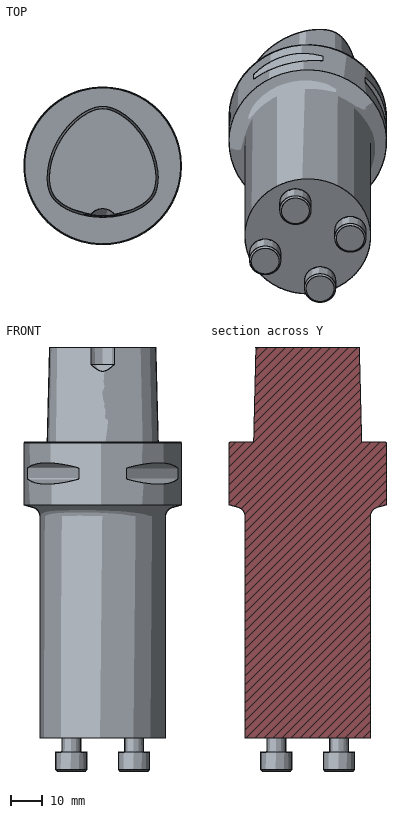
import cadquery as cq
import math

TOTAL_HEIGHT = 134.5
SHANK_HEIGHT = 30.0
FLANGE_HEIGHT = 20.0
FLANGE_RADIUS = 50.0 / 2
FLANGE_RIM_CHAMFER = 0.3
BODY_RADIUS = 40.0 / 2
BODY_BOTTOM = 10.5
FLANGE_TOP = TOTAL_HEIGHT - SHANK_HEIGHT
FLANGE_BOTTOM = FLANGE_TOP - FLANGE_HEIGHT

NECK_CONE_ANGLE = math.radians(15)
NECK_FILLET = 3.0

SHANK_MEAN_RADIUS = 17.6
LOBE_HEIGHT = 1.25
TAPER_PER_SIDE = 1 / 40
LOBE_COUNT = 3
LOBE_DIRECTION = math.radians(90)
LOBE_HALF_SPAN = math.radians(37)
POINTS_PER_FACE = 7

NOTCH_RADIUS = 4.7
NOTCH_AXIS_Y = -18.3
NOTCH_DEPTH = 5.4

GROOVE_COUNT = 4
FIRST_GROOVE_DIRECTION = 45
GROOVE_FLOOR_DISTANCE = 22.2
GROOVE_FLOOR_WIDTH = 3.5
GROOVE_FILLET = 0.5
GROOVE_FLANK_ANGLE = math.radians(30)
GROOVE_CENTRE_Z = FLANGE_TOP - FLANGE_HEIGHT / 2

SCREW_OFFSET = 10.0
SCREW_SHANK_RADIUS = 6.0 / 2
SCREW_HEAD_RADIUS = 10.0 / 2
SCREW_HEAD_HEIGHT = 6.0
SCREW_HEAD_CHAMFER = 0.5
SCREW_ROOT_FILLET = 0.3


def body_and_flange():
    """Revolved body, neck and flange."""
    arc_centre_r = BODY_RADIUS + NECK_FILLET
    cone_end_r = arc_centre_r - NECK_FILLET * math.sin(NECK_CONE_ANGLE)
    cone_end_z = FLANGE_BOTTOM - (FLANGE_RADIUS - cone_end_r) * math.tan(NECK_CONE_ANGLE)
    arc_centre_z = cone_end_z - NECK_FILLET * math.cos(NECK_CONE_ANGLE)
    mid_angle = (math.pi / 2 + NECK_CONE_ANGLE + math.pi) / 2
    arc_mid = (
        arc_centre_r + NECK_FILLET * math.cos(mid_angle),
        arc_centre_z + NECK_FILLET * math.sin(mid_angle),
    )
    return (
        cq.Workplane("XZ")
        .moveTo(0, BODY_BOTTOM)
        .lineTo(BODY_RADIUS, BODY_BOTTOM)
        .lineTo(BODY_RADIUS, arc_centre_z)
        .threePointArc(arc_mid, (cone_end_r, cone_end_z))
        .lineTo(FLANGE_RADIUS, FLANGE_BOTTOM)
        .lineTo(FLANGE_RADIUS, FLANGE_TOP - FLANGE_RIM_CHAMFER)
        .lineTo(FLANGE_RADIUS - FLANGE_RIM_CHAMFER, FLANGE_TOP)
        .lineTo(0, FLANGE_TOP)
        .close()
        .revolve(360, (0, 0, 0), (0, 1, 0))
    )


def lobe_point(normal_angle, mean_radius, z):
    """Point of the lobed outline where its outward normal has the given angle."""
    phase = LOBE_COUNT * (normal_angle - LOBE_DIRECTION)
    reach = mean_radius + LOBE_HEIGHT * math.cos(phase)
    slide = -LOBE_COUNT * LOBE_HEIGHT * math.sin(phase)
    cos_n = math.cos(normal_angle)
    sin_n = math.sin(normal_angle)
    return cq.Vector(reach * cos_n - slide * sin_n, reach * sin_n + slide * cos_n, z)


def lobed_edge(start, end, mean_radius, z):
    """One smooth stretch of the lobed outline between two normal angles."""
    step = (end - start) / (POINTS_PER_FACE - 1)
    points = [lobe_point(start + i * step, mean_radius, z) for i in range(POINTS_PER_FACE)]
    tangents = [cq.Vector(-math.sin(a), math.cos(a), 0) for a in (start, end)]
    return cq.Edge.makeSpline(points, tangents=tangents)


def lobed_wire(mean_radius, z):
    """Closed outline of alternating lobes and flanks."""
    pitch = 2 * math.pi / LOBE_COUNT
    edges = []
    for i in range(LOBE_COUNT):
        lobe_start = LOBE_DIRECTION + i * pitch - LOBE_HALF_SPAN
        lobe_end = lobe_start + 2 * LOBE_HALF_SPAN
        edges.append(lobed_edge(lobe_start, lobe_end, mean_radius, z))
        edges.append(lobed_edge(lobe_end, lobe_start + pitch, mean_radius, z))
    return cq.Wire.assembleEdges(edges)


def taper_shank():
    """Ruled taper between the lobed outlines at the flange and at the tip."""
    tip_radius = SHANK_MEAN_RADIUS - SHANK_HEIGHT * TAPER_PER_SIDE
    base = lobed_wire(SHANK_MEAN_RADIUS, FLANGE_TOP)
    tip = lobed_wire(tip_radius, TOTAL_HEIGHT)
    return cq.Workplane(cq.Solid.makeLoft([base, tip], True))


def notch_cutter():
    """Upright drill shape with a 90 degree point."""
    shoulder_z = TOTAL_HEIGHT - NOTCH_DEPTH
    return (
        cq.Workplane("XZ", origin=(0, NOTCH_AXIS_Y, 0))
        .moveTo(0, shoulder_z - NOTCH_RADIUS)
        .lineTo(NOTCH_RADIUS, shoulder_z)
        .lineTo(NOTCH_RADIUS, TOTAL_HEIGHT)
        .lineTo(0, TOTAL_HEIGHT)
        .close()
        .revolve(360, (0, 0, 0), (0, 1, 0))
    )


def groove_cutter(direction):
    """Straight groove with a flat floor, filleted into flared flanks."""
    half_floor = GROOVE_FLOOR_WIDTH / 2
    half_mouth = half_floor + (FLANGE_RADIUS - GROOVE_FLOOR_DISTANCE) * math.tan(GROOVE_FLANK_ANGLE)
    return (
        cq.Workplane("XZ")
        .moveTo(GROOVE_FLOOR_DISTANCE, -half_floor)
        .lineTo(FLANGE_RADIUS, -half_mouth)
        .lineTo(FLANGE_RADIUS, half_mouth)
        .lineTo(GROOVE_FLOOR_DISTANCE, half_floor)
        .close()
        .extrude(FLANGE_RADIUS, both=True)
        .edges("<X")
        .fillet(GROOVE_FILLET)
        .translate((0, 0, GROOVE_CENTRE_Z))
        .rotate((0, 0, 0), (0, 0, 1), direction)
    )


def cap_screw(x, y):
    """Cap screw standing out of the lower face, head down, with a fillet under its head."""
    root_radius = SCREW_SHANK_RADIUS + SCREW_ROOT_FILLET
    root_z = SCREW_HEAD_HEIGHT + SCREW_ROOT_FILLET
    return (
        cq.Workplane("XZ")
        .lineTo(SCREW_HEAD_RADIUS - SCREW_HEAD_CHAMFER, 0)
        .lineTo(SCREW_HEAD_RADIUS, SCREW_HEAD_CHAMFER)
        .lineTo(SCREW_HEAD_RADIUS, SCREW_HEAD_HEIGHT)
        .lineTo(root_radius, SCREW_HEAD_HEIGHT)
        .radiusArc((SCREW_SHANK_RADIUS, root_z), SCREW_ROOT_FILLET)
        .lineTo(SCREW_SHANK_RADIUS, BODY_BOTTOM)
        .lineTo(0, BODY_BOTTOM)
        .close()
        .revolve(360, (0, 0, 0), (0, 1, 0))
        .translate((x, y, 0))
    )


result = body_and_flange().union(taper_shank()).cut(notch_cutter())
for index in range(GROOVE_COUNT):
    result = result.cut(groove_cutter(FIRST_GROOVE_DIRECTION + index * 360 / GROOVE_COUNT))
for screw_x in (-SCREW_OFFSET, SCREW_OFFSET):
    for screw_y in (-SCREW_OFFSET, SCREW_OFFSET):
        result = result.union(cap_screw(screw_x, screw_y))